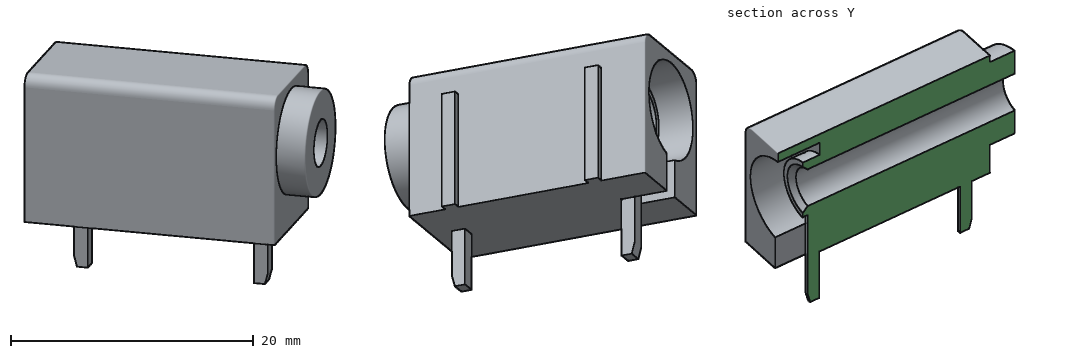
import cadquery as cq


HOUSING_LENGTH = 21.5
HOUSING_WIDTH = 10.03
HOUSING_HEIGHT = 12.72
TOP_FILLET = 1.0
EDGE_FILLET = 0.1

TOTAL_LENGTH = 24.0
AXIS_HEIGHT = 7.5
SOCKET_RADIUS = 4.25
SLEEVE_RADIUS = 3.0
SLEEVE_START = 2.5
HOLE_RADIUS = 2.0
COUNTERSINK_WIDTH = 0.5
COUNTERSINK_RADIUS = HOLE_RADIUS + COUNTERSINK_WIDTH
COLLAR_RADIUS = 4.5
COLLAR_LENGTH = TOTAL_LENGTH - HOUSING_LENGTH

PIN_THICKNESS = 1.2
PIN_WIDTH = 1.3
PIN_DROP = 5.0
PIN_TAPER_WIDTH = 0.26
PIN_TAPER_HEIGHT = 0.98
FRONT_PIN_START = 3.0
FRONT_PIN_END = FRONT_PIN_START + PIN_THICKNESS
REAR_PIN_START = 18.45
REAR_PIN_END = REAR_PIN_START + PIN_THICKNESS

SLOT_WIDTH = 1.5
SOCKET_DEPTH = FRONT_PIN_END

RIB_STARTS = (3.95, 17.0)
RIB_WIDTH = 1.2
RIB_HEIGHT = 10.08
RIB_PROJECTION = 0.67


def box(x_start, x_end, y_start, y_end, z_start, z_end):
    """Box between opposite corner coordinates."""
    size = (x_end - x_start, y_end - y_start, z_end - z_start)
    return cq.Workplane("XY").box(*size, centered=False).translate((x_start, y_start, z_start))


def axial_cylinder(radius, x_start, length):
    """Cylinder along X on the bore axis."""
    return (
        cq.Workplane("YZ", origin=(x_start, 0, AXIS_HEIGHT))
        .circle(radius)
        .extrude(length)
    )


def housing():
    """Block with rounded top edges; end edges are rounded except along the underside."""
    half_width = HOUSING_WIDTH / 2
    block = box(0, HOUSING_LENGTH, -half_width, half_width, 0, HOUSING_HEIGHT)
    block = block.edges("|X and >Z").fillet(TOP_FILLET)
    end_edges = block.faces("<X or >X").edges().edges("not <Z")
    return block.newObject(end_edges.vals()).fillet(EDGE_FILLET)


def collar():
    """Round collar on the far end, with a rounded outer edge."""
    return (
        axial_cylinder(COLLAR_RADIUS, HOUSING_LENGTH, COLLAR_LENGTH)
        .faces(">X")
        .edges()
        .fillet(EDGE_FILLET)
    )


def socket():
    """Cutter for the socket bore and the slot open to the underside."""
    bore = axial_cylinder(SOCKET_RADIUS, 0, SOCKET_DEPTH)
    slot = box(0, SOCKET_DEPTH, -SLOT_WIDTH / 2, SLOT_WIDTH / 2, 0, AXIS_HEIGHT)
    return bore.union(slot)


def pin(inner_x, outer_x, top):
    """Solder pin whose tip tapers on the side facing its end of the housing."""
    taper = PIN_TAPER_WIDTH if outer_x < inner_x else -PIN_TAPER_WIDTH
    return (
        cq.Workplane("XZ", origin=(0, PIN_WIDTH / 2, 0))
        .moveTo(inner_x, top)
        .lineTo(inner_x, -PIN_DROP)
        .lineTo(outer_x + taper, -PIN_DROP)
        .lineTo(outer_x, PIN_TAPER_HEIGHT - PIN_DROP)
        .lineTo(outer_x, top)
        .close()
        .extrude(PIN_WIDTH)
    )


def rib(x_start):
    """Upright rib on the +Y side, standing on the level of the underside."""
    side = HOUSING_WIDTH / 2
    return box(x_start, x_start + RIB_WIDTH, side, side + RIB_PROJECTION, 0, RIB_HEIGHT)


def countersunk_hole():
    """Cutter for the through hole and the cone at the mouth of the sleeve."""
    hole = axial_cylinder(HOLE_RADIUS, 0, TOTAL_LENGTH)
    cone = cq.Solid.makeCone(
        COUNTERSINK_RADIUS,
        HOLE_RADIUS,
        COUNTERSINK_WIDTH,
        cq.Vector(SLEEVE_START, 0, AXIS_HEIGHT),
        cq.Vector(1, 0, 0),
    )
    return hole.union(cq.Workplane(cone))


sleeve = axial_cylinder(SLEEVE_RADIUS, SLEEVE_START, SOCKET_DEPTH - SLEEVE_START)
front_pin_top = AXIS_HEIGHT - (SLEEVE_RADIUS + COUNTERSINK_RADIUS) / 2

result = housing().cut(socket()).union(collar()).union(sleeve)
result = result.union(pin(FRONT_PIN_END, FRONT_PIN_START, front_pin_top))
result = result.union(pin(REAR_PIN_START, REAR_PIN_END, 0))
for rib_start in RIB_STARTS:
    result = result.union(rib(rib_start))
result = result.cut(countersunk_hole())